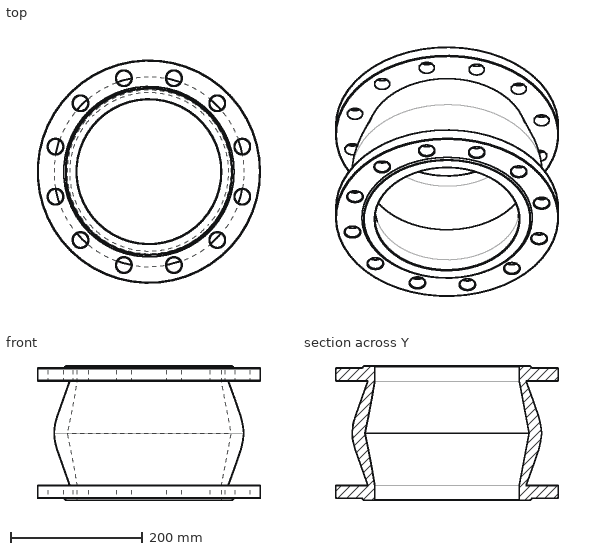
import cadquery as cq

LENGTH = 205.0
FLANGE_DIAMETER = 340.0
FLANGE_THICKNESS = 20.0
FLANGE_CHAMFER = 1.0

FACE_HEIGHT = 3.0
FACE_BASE_RADIUS = 130.0
FACE_TOP_RADIUS = 127.4
FACE_EDGE_WIDTH = 0.8
FACE_EDGE_HEIGHT = 0.4

BORE_RADIUS = 110.0
BORE_CHAMFER = 1.0

CROWN_RADIUS = 145.0
SHOULDER_RADIUS = 139.6
SHOULDER_Z = 28.0
SLOPE_RADIUS = 130.8
SLOPE_Z = 53.0
NECK_RADIUS = 121.2
CAVITY_RADIUS = 125.0

BOLT_COUNT = 12
BOLT_CIRCLE_RADIUS = 147.5
BOLT_HOLE_DIAMETER = 23.0
BOLT_HOLE_CHAMFER = 1.0

END_Z = LENGTH / 2
FLANGE_OUTER_Z = END_Z - FACE_HEIGHT
FLANGE_INNER_Z = FLANGE_OUTER_Z - FLANGE_THICKNESS


def upper_half():
    """Revolve the wall from the middle plane up to the top sealing face."""
    flange_radius = FLANGE_DIAMETER / 2
    wall_points = [
        (SHOULDER_RADIUS, SHOULDER_Z),
        (SLOPE_RADIUS, SLOPE_Z),
        (NECK_RADIUS, FLANGE_INNER_Z),
    ]
    profile = (
        cq.Workplane("XZ")
        .moveTo(CAVITY_RADIUS, 0)
        .lineTo(CROWN_RADIUS, 0)
        .spline(wall_points, includeCurrent=True)
        .lineTo(flange_radius - FLANGE_CHAMFER, FLANGE_INNER_Z)
        .lineTo(flange_radius, FLANGE_INNER_Z + FLANGE_CHAMFER)
        .lineTo(flange_radius, FLANGE_OUTER_Z - FLANGE_CHAMFER)
        .lineTo(flange_radius - FLANGE_CHAMFER, FLANGE_OUTER_Z)
        .lineTo(FACE_BASE_RADIUS, FLANGE_OUTER_Z)
        .lineTo(FACE_TOP_RADIUS, END_Z - FACE_EDGE_HEIGHT)
        .lineTo(FACE_TOP_RADIUS - FACE_EDGE_WIDTH, END_Z)
        .lineTo(BORE_RADIUS + BORE_CHAMFER, END_Z)
        .lineTo(BORE_RADIUS, END_Z - BORE_CHAMFER)
        .lineTo(BORE_RADIUS, FLANGE_INNER_Z)
        .close()
    )
    return profile.revolve(360, (0, 0, 0), (0, 1, 0))


def bolt_holes():
    """Cutters for one flange, placed so that the X and Y axes fall between holes."""
    half_pitch = 360 / BOLT_COUNT / 2
    hole_radius = BOLT_HOLE_DIAMETER / 2
    mouth_radius = hole_radius + BOLT_HOLE_CHAMFER
    cutter = (
        cq.Workplane("XZ")
        .moveTo(0, FLANGE_INNER_Z)
        .lineTo(hole_radius, FLANGE_INNER_Z)
        .lineTo(hole_radius, FLANGE_OUTER_Z - BOLT_HOLE_CHAMFER)
        .lineTo(mouth_radius, FLANGE_OUTER_Z)
        .lineTo(0, FLANGE_OUTER_Z)
        .close()
        .revolve(360, (0, 0, 0), (0, 1, 0))
        .val()
    )
    return (
        cq.Workplane("XY")
        .polarArray(BOLT_CIRCLE_RADIUS, half_pitch, 360, BOLT_COUNT)
        .eachpoint(lambda place: cutter.moved(place))
    )


top = upper_half().cut(bolt_holes())
bottom = top.mirror("XY")
result = top.union(bottom)